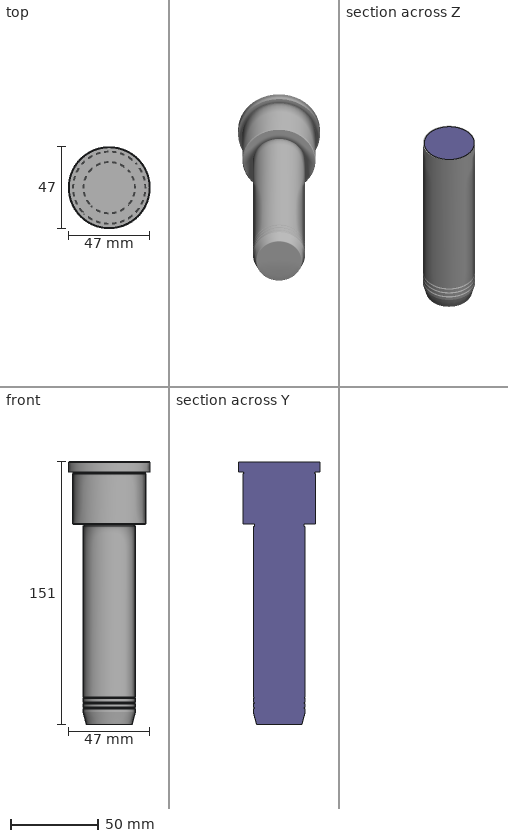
import cadquery as cq
import math

TOTAL_LENGTH = 151.0
HEAD_DIAMETER = 47.0
HEAD_HEIGHT = 6.0
HEAD_CHAMFER = 0.5
COLLAR_DIAMETER = 42.0
COLLAR_HEIGHT = 30.0
COLLAR_CHAMFER = 0.5
SHAFT_DIAMETER = 30.0

GROOVE_WIDTH = 1.0
GROOVE_FLOOR_WIDTH = 0.12
GROOVE_DEPTH = 0.5
GROOVE_COUNT = 3
GROOVE_PITCH = 3.0
LOWEST_GROOVE_CENTER = 9.5

NECK_HEIGHT = 1.0
NECK_DEPTH = 0.5

NOSE_HEIGHT = 7.0
NOSE_ANGLE = 15.0
NOSE_FILLET = 0.5

HEAD_BASE = TOTAL_LENGTH - HEAD_HEIGHT
COLLAR_BASE = HEAD_BASE - COLLAR_HEIGHT
NECK_BASE = COLLAR_BASE - NECK_HEIGHT
NECK_DIAMETER = SHAFT_DIAMETER - 2 * NECK_DEPTH
SHAFT_RADIUS = SHAFT_DIAMETER / 2
NOSE_END_RADIUS = SHAFT_RADIUS - NOSE_HEIGHT * math.tan(math.radians(NOSE_ANGLE))


def cylinder(diameter, base, height):
    """Vertical cylinder on the Z axis, starting at the given height."""
    return cq.Workplane("XY").workplane(offset=base).circle(diameter / 2).extrude(height)


def groove_cutter(diameter, center_height):
    """Ring of tapered section that cuts a narrow-floored groove into a cylinder."""
    radius = diameter / 2
    floor_radius = radius - GROOVE_DEPTH
    half_mouth = GROOVE_WIDTH / 2
    half_floor = GROOVE_FLOOR_WIDTH / 2
    section = cq.Workplane("XZ").polyline(
        [
            (radius, center_height - half_mouth),
            (floor_radius, center_height - half_floor),
            (floor_radius, center_height + half_floor),
            (radius, center_height + half_mouth),
        ]
    )
    return section.close().revolve(360, (0, 0, 0), (0, 1, 0))


def make_head():
    """Flat round head with a chamfered top edge."""
    head = cylinder(HEAD_DIAMETER, HEAD_BASE, HEAD_HEIGHT)
    return head.faces(">Z").edges().chamfer(HEAD_CHAMFER)


def make_collar():
    """Collar with a chamfered lower edge and a tapered groove right under the head."""
    collar = cylinder(COLLAR_DIAMETER, COLLAR_BASE, COLLAR_HEIGHT)
    collar = collar.faces("<Z").edges().chamfer(COLLAR_CHAMFER)
    return collar.cut(groove_cutter(COLLAR_DIAMETER, HEAD_BASE - GROOVE_WIDTH / 2))


def make_nose():
    """Cone that widens up to the shaft, with a rounded lower edge."""
    nose = cq.Workplane(obj=cq.Solid.makeCone(NOSE_END_RADIUS, SHAFT_RADIUS, NOSE_HEIGHT))
    return nose.faces("<Z").edges().fillet(NOSE_FILLET)


def make_shaft():
    """Straight shaft with the ring grooves, topped by the thinner neck."""
    shaft = cylinder(SHAFT_DIAMETER, NOSE_HEIGHT, NECK_BASE - NOSE_HEIGHT)
    for index in range(GROOVE_COUNT):
        groove_center = LOWEST_GROOVE_CENTER + index * GROOVE_PITCH
        shaft = shaft.cut(groove_cutter(SHAFT_DIAMETER, groove_center))
    return shaft.union(cylinder(NECK_DIAMETER, NECK_BASE, NECK_HEIGHT))


result = make_nose().union(make_shaft()).union(make_collar()).union(make_head())